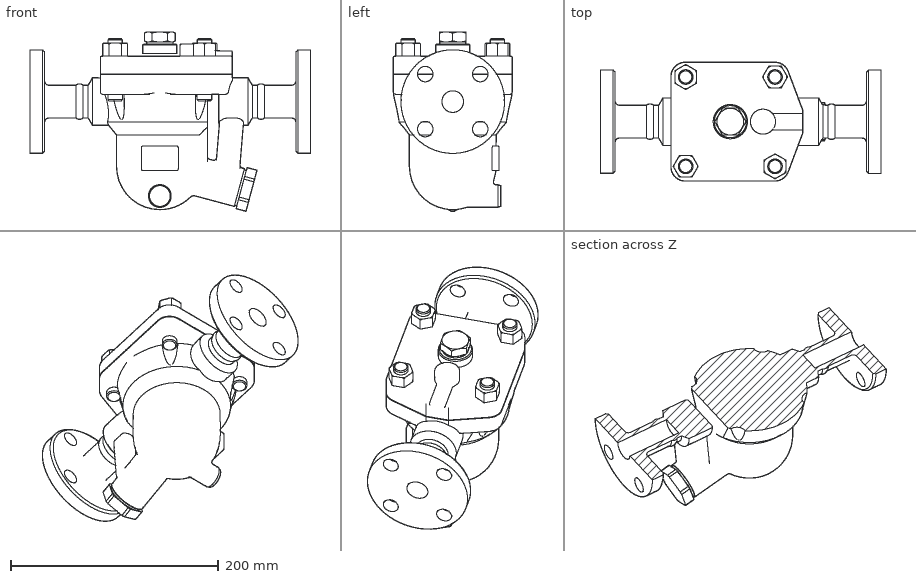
import cadquery as cq
import math

overall_length = 271.0
inlet_face_x = -125.5
outlet_face_x = inlet_face_x + overall_length

flange_d = 100.0
flange_thickness = 14.4
flange_chamfer = 2.2
flange_hole_d = 15.0
flange_hole_circle_d = 75.0
flange_hole_count = 4
pipe_d = 32.0
neck_fillet = 4.0
bead_d = 34.5
bead_length = 6.5
bead_from_face = 48.0
hub_d = 46.0
hub_nose_length = 4.0
hub_from_face = 56.5
outlet_hub_fillet = 3.3
port_d = 21.0

plate_half_width = 57.5
plate_shoulder_x = 52.5
plate_tip_x = 70.0
plate_tip_half_width = 11.0
plate_corner_radius = 14.0
plate_bottom_z = 7.0
plate_top_z = 44.0
plate_bottom_fillet = 2.5
plate_top_fillet = 1.5
joint_z = 26.5
joint_gap = 0.5
joint_depth = 0.3

stud_offset = 43.0
stud_places = [(x, y) for x in (-stud_offset, stud_offset) for y in (-stud_offset, stud_offset)]
stud_d = 14.0
stud_bottom_z = 0.8
stud_top_z = 60.7
stud_chamfer = 1.0
nut_flats = 21.0
nut_height = 12.5
nut_rim_d = 22.5
nut_rim_drop = 0.8
stud_relief_d = 17.5

boss_x = 31.5
boss_d = 24.0
boss_top_z = 55.5
boss_fillet = 1.4
tail_radius = 8.7
tail_top_z = 49.0
tail_end_fillet = 1.4
tail_root_fillet = 2.7

bowl_radius = 42.0
bowl_ball_z = -62.3
taper_top_radius = 57.5
taper_bottom_radius = 52.0
taper_bottom_z = -18.0
band_bottom_z = -19.8
shoulder_bottom_z = -32.0
slot_left_x = 46.0
slot_right_x = 56.6
rib_half_width = 16.5
rib_corner_radius = 5.0
rib_root_fillet = 2.2
rib_root_top_z = -51.5

name_plate_width = 35.5
name_plate_top_z = -42.8
name_plate_bottom_z = -66.7
name_plate_face_y = -44.7
name_plate_corner_radius = 1.5
name_plate_fillet = 1.0

drain_z = -91.0
drain_d = 22.0
drain_end_y = -46.3
drain_root_fillet = 2.5
drain_chamfer = 0.95
drain_chamfer_length = 2.7

branch_angle = 15.0
branch_d = 38.0
branch_length = 79.5
branch_root_fillet = 5.0
cap_neck_d = 35.8
cap_start = 81.5
cap_end = 91.5
cap_flats = 37.0
cap_round_d = 41.2

leg_middle_x = 67.8
leg_tilt = 4.7
leg_width = 23.3
leg_corner_radius = 6.5
leg_length = 73.2
leg_root_fillet = 2.7

seam_tolerance = 0.003

plug_bottom_z = 46.3
plug_collar_top_z = 55.5
plug_hex_bottom_z = 57.5
plug_top_z = 67.2
plug_collar_d = 33.0
plug_collar_chamfer = 1.0
plug_neck_d = 25.5
plug_hex_flats = 26.0
plug_rim_d = 25.7
plug_rim_drop = 1.0


def cylinder_z(radius, bottom, top, x=0.0, y=0.0):
    return cq.Workplane("XY", origin=(x, y, bottom)).circle(radius).extrude(top - bottom)


def hex_prism(flats, height):
    """Hexagonal prism standing on Z = 0, with two corners on X."""
    return cq.Workplane("XY").polygon(6, flats / math.cos(math.pi / 6)).extrude(height)


def turned_hex(flats, rim_d, rim_drop, height, turned_bottom=False):
    """Hexagonal prism with its corners turned off at the top rim, and below if asked."""
    corner_radius = flats / 2 / math.cos(math.pi / 6)
    rim_radius = rim_d / 2
    bottom_radius = rim_radius if turned_bottom else corner_radius
    blank = (
        cq.Workplane("XZ")
        .polyline([
            (0, 0),
            (bottom_radius, 0),
            (corner_radius, rim_drop),
            (corner_radius, height - rim_drop),
            (rim_radius, height),
            (0, height),
        ])
        .close()
        .revolve(360, (0, 0), (0, 1))
    )
    return hex_prism(flats, height).intersect(blank)


def pipe_end(inner_length):
    """Flange, pipe, weld bead and hub, starting at X = 0 and running along +X."""
    pipe_r = pipe_d / 2
    hub_r = hub_d / 2
    flange_r = flange_d / 2
    bead_end = bead_from_face + bead_length / 2
    bead_start = bead_from_face - bead_length / 2
    profile = (
        cq.Workplane("XY")
        .moveTo(0, 0)
        .lineTo(0, flange_r)
        .lineTo(flange_thickness - flange_chamfer, flange_r)
        .lineTo(flange_thickness, flange_r - flange_chamfer)
        .lineTo(flange_thickness, pipe_r + neck_fillet)
        .radiusArc((flange_thickness + neck_fillet, pipe_r), -neck_fillet)
        .lineTo(bead_start, pipe_r)
        .threePointArc((bead_from_face, bead_d / 2), (bead_end, pipe_r))
        .lineTo(hub_from_face, pipe_r)
        .lineTo(hub_from_face + hub_nose_length, hub_r)
        .lineTo(inner_length, hub_r)
        .lineTo(inner_length, 0)
        .close()
    )
    end = profile.revolve(360, (0, 0), (1, 0))
    first_hole_angle = 180 / flange_hole_count
    holes = (
        cq.Workplane("YZ")
        .polarArray(flange_hole_circle_d / 2, first_hole_angle, 360, flange_hole_count)
        .circle(flange_hole_d / 2)
        .extrude(flange_thickness)
    )
    port = cq.Workplane("YZ").circle(port_d / 2).extrude(hub_from_face)
    return end.cut(holes).cut(port)


def join_with_fillet(first, second, radius, highest_z=math.inf):
    """Union of two bodies with a fillet along the seams where their surfaces meet, up to a height."""
    skins = (first.val().Shells()[0], second.val().Shells()[0])
    joined = first.union(second)
    seams = []
    for edge in joined.edges().vals():
        middle = cq.Vertex.makeVertex(*edge.positionAt(0.5).toTuple())
        on_both = all(middle.distance(skin) < seam_tolerance for skin in skins)
        if on_both and middle.Z < highest_z:
            seams.append(edge)
    return joined.newObject(seams).fillet(radius)


def plate_prism(bottom, top, inset=0.0):
    """Upright prism on the five-cornered plate outline, shrunk by an inset."""
    outline = (
        cq.Workplane("XY", origin=(0, 0, bottom))
        .polyline([
            (-plate_half_width, -plate_half_width),
            (plate_shoulder_x, -plate_half_width),
            (plate_tip_x, -plate_tip_half_width),
            (plate_tip_x, plate_tip_half_width),
            (plate_shoulder_x, plate_half_width),
            (-plate_half_width, plate_half_width),
        ])
        .close()
    )
    if inset:
        outline = outline.offset2D(-inset)
    prism = outline.extrude(top - bottom)
    bolt_corners = (
        prism.edges("|Z and <X")
        .add(prism.edges("|Z and <Y"))
        .add(prism.edges("|Z and >Y"))
    )
    return bolt_corners.fillet(plate_corner_radius - inset)


def plate():
    """Cover and body flange, with a shallow groove at the joint between them."""
    block = plate_prism(plate_bottom_z, plate_top_z)
    block = block.faces(">Z").edges().fillet(plate_top_fillet)
    block = block.faces("<Z").edges().fillet(plate_bottom_fillet)
    groove_bottom = joint_z - joint_gap / 2
    groove_top = joint_z + joint_gap / 2
    groove = plate_prism(groove_bottom, groove_top).cut(
        plate_prism(groove_bottom, groove_top, joint_depth)
    )
    return block.cut(groove)


def bowl():
    """Tapered neck, shoulder, cylinder and ball end, cut short on the outlet side."""
    neck_top_z = plate_bottom_z + plate_bottom_fillet
    ball_side = bowl_radius / math.sqrt(2)
    shell = (
        cq.Workplane("XZ")
        .moveTo(0, neck_top_z)
        .lineTo(taper_top_radius, neck_top_z)
        .lineTo(taper_top_radius, plate_bottom_z)
        .lineTo(taper_bottom_radius, taper_bottom_z)
        .lineTo(taper_bottom_radius, band_bottom_z)
        .lineTo(bowl_radius, shoulder_bottom_z)
        .lineTo(bowl_radius, bowl_ball_z)
        .threePointArc(
            (ball_side, bowl_ball_z - ball_side), (0, bowl_ball_z - bowl_radius)
        )
        .close()
        .revolve(360, (0, 0), (0, 1))
    )
    outlet_side = cq.Workplane("XY").box(
        2 * plate_half_width,
        4 * plate_half_width,
        plate_bottom_z - shoulder_bottom_z,
        centered=(False, True, False),
    ).translate((slot_left_x, 0, shoulder_bottom_z))
    shell = shell.cut(outlet_side)
    for x, y in stud_places:
        shell = shell.cut(cylinder_z(stud_relief_d / 2, band_bottom_z, plate_bottom_z, x, y))
    return shell


def outlet_rib():
    """Upright rib on the outlet side of the bowl, down into the strainer branch."""
    bottom_z = bowl_ball_z - slot_left_x * math.tan(math.radians(branch_angle))
    return (
        cq.Workplane("XY")
        .box(
            slot_left_x,
            2 * rib_half_width,
            plate_bottom_z - bottom_z,
            centered=(False, True, False),
        )
        .edges("|Z and >X")
        .fillet(rib_corner_radius)
        .translate((0, 0, bottom_z))
    )


def along_branch(body):
    """Turn a body standing on Z = 0 onto the strainer axis, which starts at the ball centre."""
    tilted = body.rotate((0, 0, 0), (0, 1, 0), 90 + branch_angle)
    return tilted.translate((0, 0, bowl_ball_z))


def strainer_branch():
    return along_branch(cylinder_z(branch_d / 2, 0, branch_length))


def strainer_cap():
    neck = cylinder_z(cap_neck_d / 2, branch_length, cap_start)
    head = hex_prism(cap_flats, cap_end - cap_start).translate((0, 0, cap_start))
    head = head.intersect(cylinder_z(cap_round_d / 2, cap_start, cap_end))
    return along_branch(neck.union(head))


def return_leg():
    """Leaning bar that starts on the pipe axis and ends inside the strainer branch."""
    return (
        cq.Workplane("XY")
        .box(leg_width, 2 * rib_half_width, leg_length)
        .edges("|Z")
        .fillet(leg_corner_radius)
        .rotate((0, 0, 0), (0, 1, 0), leg_tilt)
        .translate((leg_middle_x, 0, -leg_length / 2))
    )


def name_plate():
    return (
        cq.Workplane("XY")
        .box(
            name_plate_width,
            -name_plate_face_y,
            name_plate_top_z - name_plate_bottom_z,
            centered=(True, False, False),
        )
        .translate((0, name_plate_face_y, name_plate_bottom_z))
        .edges("|Y")
        .fillet(name_plate_corner_radius)
        .faces("<Y")
        .edges()
        .fillet(name_plate_fillet)
    )


def drain_stub():
    return (
        cq.Workplane("XZ", origin=(0, 0, drain_z))
        .circle(drain_d / 2)
        .extrude(-drain_end_y)
        .faces("<Y")
        .chamfer(drain_chamfer_length, drain_chamfer)
    )


def cover_boss():
    """Round boss on the cover with a half-round tail running out to the plate tip."""
    boss = cylinder_z(boss_d / 2, joint_z, boss_top_z, boss_x)
    boss = boss.faces(">Z").edges().fillet(boss_fillet)
    tail = (
        cq.Workplane("YZ", origin=(boss_x, 0, tail_top_z - tail_radius))
        .circle(tail_radius)
        .extrude(plate_tip_x - boss_x)
        .faces(">X")
        .edges()
        .fillet(tail_end_fillet)
    )
    return join_with_fillet(boss, tail, tail_root_fillet)


def stud_with_nut(x, y):
    """Stud and its nut; nuts on one diagonal are turned a quarter turn."""
    stud = cylinder_z(stud_d / 2, stud_bottom_z, stud_top_z)
    stud = stud.faces("<Z or >Z").edges().chamfer(stud_chamfer)
    nut = turned_hex(nut_flats, nut_rim_d, nut_rim_drop, nut_height)
    if x * y < 0:
        nut = nut.rotate((0, 0, 0), (0, 0, 1), 90)
    return stud.union(nut.translate((0, 0, plate_top_z))).translate((x, y, 0))


def trap_body():
    body = join_with_fillet(bowl(), strainer_branch(), branch_root_fillet)
    body = join_with_fillet(body, outlet_rib(), rib_root_fillet, highest_z=rib_root_top_z)
    body = join_with_fillet(body, return_leg(), leg_root_fillet)
    body = join_with_fillet(body, drain_stub(), drain_root_fillet)
    body = body.union(plate())

    inlet_end = pipe_end(-inlet_face_x).translate((inlet_face_x, 0, 0))
    outlet_end = (
        pipe_end(outlet_face_x - slot_right_x)
        .faces(">X")
        .edges()
        .fillet(outlet_hub_fillet)
        .rotate((0, 0, 0), (0, 0, 1), 180)
        .translate((outlet_face_x, 0, 0))
    )
    body = body.union(inlet_end).union(outlet_end)
    body = body.union(strainer_cap())
    body = body.union(name_plate()).union(cover_boss())
    for x, y in stud_places:
        body = body.union(stud_with_nut(x, y))
    return body


def vent_plug():
    """Hexagon-headed plug standing clear above the cover."""
    collar = cylinder_z(plug_collar_d / 2, plug_bottom_z, plug_collar_top_z)
    collar = collar.faces(">Z").edges().chamfer(plug_collar_chamfer)
    neck = cylinder_z(plug_neck_d / 2, plug_collar_top_z, plug_hex_bottom_z)
    head = turned_hex(
        plug_hex_flats,
        plug_rim_d,
        plug_rim_drop,
        plug_top_z - plug_hex_bottom_z,
        turned_bottom=True,
    ).translate((0, 0, plug_hex_bottom_z))
    return collar.union(neck).union(head)


trap = trap_body()
plug = vent_plug()
result = cq.Compound.makeCompound([trap.val(), plug.val()])